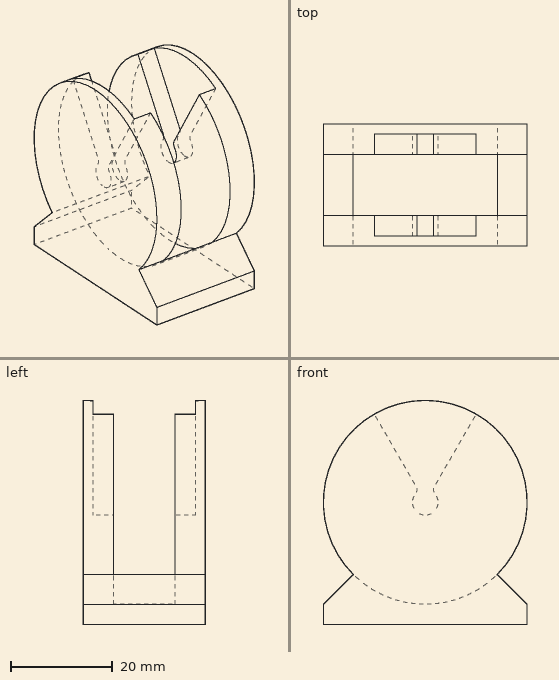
import cadquery as cq
import math

total_height = 44
disc_diameter = 40.0
thickness = 24.0
gap_width = 12.0
pocket_span = 20.0
base_edge_height = 4.0
pocket_angle = 60
hub_radius = 2.5
lip_radius = 1.3

disc_radius = disc_diameter / 2
center_z = total_height - disc_radius
half_angle = math.radians(pocket_angle / 2)
shoulder_offset = disc_radius * math.sin(math.radians(45))
shoulder_z = center_z - shoulder_offset


def extrude_centered(profile, width):
    """Extrude an XZ profile symmetrically about the Y = 0 plane."""
    return profile.extrude(width / 2, both=True)


def disc(width):
    plane = cq.Workplane("XZ").center(0, center_z)
    return extrude_centered(plane.circle(disc_radius), width)


def foot():
    """Base with sloping shoulders that run up to the disc rim."""
    profile = (
        cq.Workplane("XZ")
        .moveTo(-disc_radius, 0)
        .lineTo(disc_radius, 0)
        .lineTo(disc_radius, base_edge_height)
        .lineTo(shoulder_offset, shoulder_z)
        .lineTo(-shoulder_offset, shoulder_z)
        .lineTo(-disc_radius, base_edge_height)
        .close()
    )
    return extrude_centered(profile, thickness)


def pocket():
    """Keyhole: a sector open at the rim, blended into the hub recess."""
    reach = 2 * disc_radius
    mouth_x = reach * math.sin(half_angle)
    mouth_z = reach * math.cos(half_angle)

    lip_center_distance = hub_radius + lip_radius
    wall_start = math.sqrt(lip_center_distance**2 - lip_radius**2)
    lip_center_angle = half_angle + math.asin(lip_radius / lip_center_distance)
    lip_center_x = lip_center_distance * math.sin(lip_center_angle)
    lip_center_z = lip_center_distance * math.cos(lip_center_angle)

    wall_x = wall_start * math.sin(half_angle)
    wall_z = wall_start * math.cos(half_angle)
    hub_x = hub_radius * math.sin(lip_center_angle)
    hub_z = hub_radius * math.cos(lip_center_angle)

    toward_wall = math.pi - half_angle
    toward_hub = 1.5 * math.pi - lip_center_angle
    middle_angle = (toward_wall + toward_hub) / 2
    lip_x = lip_center_x + lip_radius * math.cos(middle_angle)
    lip_z = lip_center_z + lip_radius * math.sin(middle_angle)

    profile = (
        cq.Workplane("XZ")
        .center(0, center_z)
        .moveTo(mouth_x, mouth_z)
        .lineTo(wall_x, wall_z)
        .threePointArc((lip_x, lip_z), (hub_x, hub_z))
        .threePointArc((0, -hub_radius), (-hub_x, hub_z))
        .threePointArc((-lip_x, lip_z), (-wall_x, wall_z))
        .lineTo(-mouth_x, mouth_z)
        .close()
    )
    return extrude_centered(profile, pocket_span)


result = disc(thickness).union(foot()).cut(disc(gap_width)).cut(pocket())